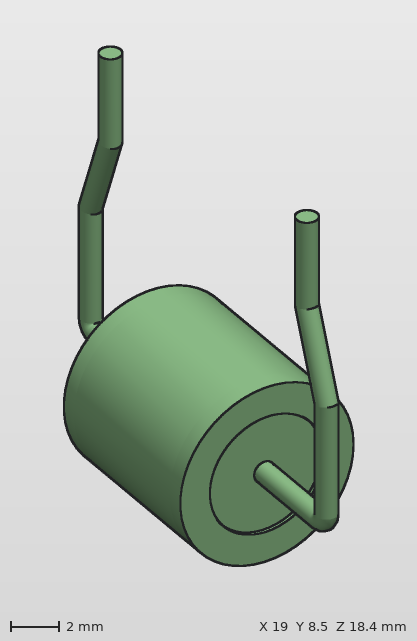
import cadquery as cq

body_diameter = 8.5
body_length = 8.9
cap_length = 0.8
recess_diameter = 5.6
recess_depth = 0.2

wire_diameter = 1.0
lead_span = 18.0
tip_span = 15.0
lower_knee_z = 5.9
upper_knee_z = 9.9
tip_z = 14.2

body_radius = body_diameter / 2
body_half = body_length / 2
core_half = body_half - cap_length
recess_radius = recess_diameter / 2
recess_floor = body_half - recess_depth
wire_radius = wire_diameter / 2
bend_radius = wire_radius
lead_x = lead_span / 2
tip_x = tip_span / 2
bend_x = lead_x - bend_radius


def make_body():
    """Turned body with a shallow round recess in each end; the caps are separate outer faces."""
    return (
        cq.Workplane("XY")
        .moveTo(-recess_floor, 0)
        .lineTo(-recess_floor, recess_radius)
        .lineTo(-body_half, recess_radius)
        .lineTo(-body_half, body_radius)
        .lineTo(-core_half, body_radius)
        .lineTo(core_half, body_radius)
        .lineTo(body_half, body_radius)
        .lineTo(body_half, recess_radius)
        .lineTo(recess_floor, recess_radius)
        .lineTo(recess_floor, 0)
        .close()
        .revolve(360, (0, 0, 0), (1, 0, 0), clean=False)
    )


def make_left_lead():
    """Lead on the -X side: straight run from the body, tight bend, then the stepped upright."""
    straight = (
        cq.Workplane("YZ", origin=(-bend_x, 0, 0))
        .circle(wire_radius)
        .extrude(bend_x - core_half)
    )
    bend = (
        cq.Workplane("XY", origin=(-lead_x, 0, bend_radius))
        .circle(wire_radius)
        .revolve(90, (bend_radius, 0, 0), (bend_radius, -1, 0))
    )
    upright_path = (
        cq.Workplane("XZ")
        .moveTo(-lead_x, bend_radius)
        .lineTo(-lead_x, lower_knee_z)
        .lineTo(-tip_x, upper_knee_z)
        .lineTo(-tip_x, tip_z)
    )
    upright = (
        cq.Workplane("XY", origin=(-lead_x, 0, bend_radius))
        .circle(wire_radius)
        .sweep(upright_path, transition="right")
    )
    return straight.union(bend).union(upright)


left_lead = make_left_lead()
right_lead = left_lead.mirror("YZ")
result = make_body().union(left_lead, clean=False).union(right_lead, clean=False)